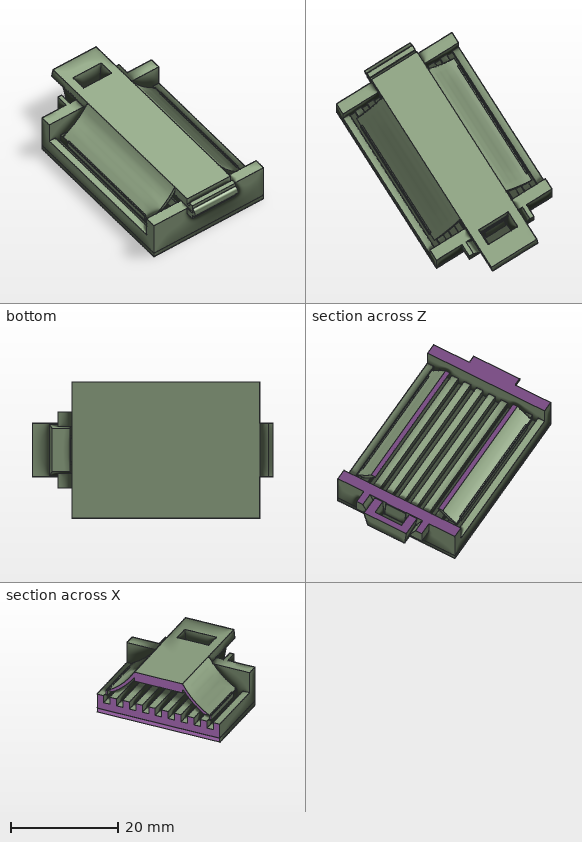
import cadquery as cq
import math


tray_length = 35.0
tray_width = 25.4
pad_height = 0.95
floor_top = 3.95
wall_top = 8.25
wall_thickness = 2.3
groove_count = 9
groove_pitch = 2.67
groove_width = 1.24
groove_depth = 1.5

lid_top = 10.7
lid_thickness = 2.05
lid_width = 10.0
lid_overhang = 7.35
lid_end_slant = 0.4

hinge_gap_reach = 1.6
hinge_strip_thickness = 0.7
hinge_rib_width = 1.0
hinge_rib_height = 0.8
hinge_stub_height = 1.45
hinge_end = 2.45

wing_length = 27.25
wing_thickness = 0.7
wing_radius = 15.0
wing_tip_y = 10.73
wing_tip_drop = 5.5
foot_length = 24.1
foot_bottom = 4.2
foot_outer_y = 10.87
foot_thickness = 0.4

block_bottom = 3.25
block_top_left = -21.7
block_bottom_left = -21.2
block_bottom_right = -17.9
block_top_right = -17.4
block_top_half_width = 4.8
block_bottom_half_width = 4.0
pocket_bottom = 4.2
pocket_top_left = -20.5
pocket_top_right = -17.2
pocket_bottom_left = -20.15
pocket_bottom_right = -17.97
pocket_top_half_width = 3.25
pocket_bottom_half_width = 2.43

barb_reach = 0.7
barb_width = 4.3
barb_bottom = 4.5
barb_top = 7.6
latch_clearance = 0.05
guide_length = 2.6
guide_bottom = 4.87
guide_outer_y = 7.1
guide_top_inner_y = 6.2
guide_bottom_inner_y = 4.35

tray_end = tray_length / 2
lid_bottom = lid_top - lid_thickness
lid_half_width = lid_width / 2


def block(x_min, x_max, y_min, y_max, z_min, z_max):
    """Rectangular block between the given limits."""
    size = (x_max - x_min, y_max - y_min, z_max - z_min)
    return cq.Workplane("XY").box(*size, centered=False).translate((x_min, y_min, z_min))


def tapered_block(lower, upper, z_lower, z_upper):
    """Loft between two rectangles, each given as (x_min, x_max, half_width)."""
    lower_min, lower_max, lower_half = lower
    upper_min, upper_max, upper_half = upper
    return (
        cq.Workplane("XY", origin=((lower_min + lower_max) / 2, 0, z_lower))
        .rect(lower_max - lower_min, 2 * lower_half)
        .workplane(offset=z_upper - z_lower)
        .center((upper_min + upper_max - lower_min - lower_max) / 2, 0)
        .rect(upper_max - upper_min, 2 * upper_half)
        .loft()
    )


def make_pad():
    return block(-tray_end, tray_end, -tray_width / 2, tray_width / 2, 0, pad_height)


def make_tray():
    """Floor with lengthwise grooves between two end walls."""
    half_width = tray_width / 2
    inner_end = tray_end - wall_thickness
    tray = block(-tray_end, tray_end, -half_width, half_width, pad_height, wall_top)
    tray = tray.cut(block(-inner_end, inner_end, -half_width, half_width, floor_top, wall_top))
    for index in range(groove_count):
        y = (index - (groove_count - 1) / 2) * groove_pitch
        tray = tray.cut(
            block(
                -inner_end, inner_end,
                y - groove_width / 2, y + groove_width / 2,
                floor_top - groove_depth, floor_top,
            )
        )
    return tray


def make_guide(side):
    """Guide with a sloping inner face that centres the latch block; side is -1 or 1."""
    points = [
        (side * guide_outer_y, guide_bottom),
        (side * guide_outer_y, wall_top),
        (side * guide_top_inner_y, wall_top),
        (side * guide_bottom_inner_y, guide_bottom),
    ]
    return cq.Workplane("YZ", origin=(-tray_end, 0, 0)).polyline(points).close().extrude(-guide_length)


def make_barb(clearance=0.0):
    """Wedge on the tray end that catches the latch block."""
    tip = -tray_end - barb_reach - clearance
    points = [
        (-tray_end, barb_bottom - clearance),
        (tip, barb_bottom - clearance),
        (-tray_end, barb_top + clearance),
    ]
    return cq.Workplane("XZ").polyline(points).close().extrude(barb_width / 2 + clearance, both=True)


def make_lid():
    """Flat lid with a slanted free end."""
    points = [
        (-tray_end - lid_overhang, lid_bottom),
        (-tray_end - lid_overhang + lid_end_slant, lid_top),
        (tray_end, lid_top),
        (tray_end, lid_bottom),
    ]
    return cq.Workplane("XZ").polyline(points).close().extrude(lid_half_width, both=True)


def make_latch():
    """Tapered block hanging from the lid, trimmed to clear the end of the tray."""
    latch = tapered_block(
        (block_bottom_left, block_bottom_right, block_bottom_half_width),
        (block_top_left, block_top_right, block_top_half_width),
        block_bottom,
        lid_bottom,
    )
    return latch.cut(
        block(
            -tray_end - latch_clearance, tray_end,
            -block_top_half_width, block_top_half_width,
            pad_height, wall_top + latch_clearance,
        )
    )


def make_latch_pocket():
    return tapered_block(
        (pocket_bottom_left, pocket_bottom_right, pocket_bottom_half_width),
        (pocket_top_left, pocket_top_right, pocket_top_half_width),
        pocket_bottom,
        lid_top,
    )


def make_wing(side):
    """Concave wing from the lid edge down towards the tray floor; side is -1 or 1."""
    tip_z = lid_top - wing_tip_drop
    chord_y = wing_tip_y - lid_half_width
    chord = math.hypot(chord_y, wing_tip_drop)
    centre_distance = math.sqrt(wing_radius**2 - (chord / 2) ** 2)
    normal_y = wing_tip_drop / chord
    normal_z = chord_y / chord
    centre_y = (lid_half_width + wing_tip_y) / 2 + centre_distance * normal_y
    centre_z = (lid_top + tip_z) / 2 + centre_distance * normal_z
    outer_middle = (side * (centre_y - wing_radius * normal_y), centre_z - wing_radius * normal_z)

    inner_radius = wing_radius + wing_thickness
    inner_root_y = lid_half_width - wing_thickness
    inner_root_z = centre_z - math.sqrt(inner_radius**2 - (centre_y - inner_root_y) ** 2)
    inner_tip_y = centre_y - math.sqrt(inner_radius**2 - (centre_z - tip_z) ** 2)
    inner_middle = (side * (centre_y - inner_radius * normal_y), centre_z - inner_radius * normal_z)

    profile = (
        cq.Workplane("YZ")
        .moveTo(side * lid_half_width, lid_top)
        .threePointArc(outer_middle, (side * wing_tip_y, tip_z))
        .lineTo(side * inner_tip_y, tip_z)
        .threePointArc(inner_middle, (side * inner_root_y, inner_root_z))
        .lineTo(side * inner_root_y, lid_top)
        .close()
    )
    foot_y = sorted([side * foot_outer_y, side * (foot_outer_y - foot_thickness)])
    foot = block(-foot_length / 2, foot_length / 2, *foot_y, foot_bottom, tip_z)
    return profile.extrude(wing_length / 2, both=True).union(foot)


def make_hinge():
    """Folded strip that joins the lid to the tray, with a rib on top."""
    gap_end = tray_end + hinge_gap_reach
    strip_top = lid_bottom + hinge_strip_thickness
    rib_top = strip_top + hinge_rib_height
    fold_bottom = wall_top - hinge_strip_thickness
    profile = (
        cq.Workplane("XZ")
        .moveTo(tray_end, strip_top)
        .lineTo(gap_end - hinge_rib_width, strip_top)
        .lineTo(gap_end - hinge_rib_width, rib_top)
        .lineTo(gap_end, rib_top)
        .lineTo(gap_end, strip_top)
        .threePointArc((tray_end + hinge_end, (strip_top + fold_bottom) / 2), (gap_end, fold_bottom))
        .lineTo(gap_end, wall_top - hinge_stub_height)
        .lineTo(tray_end, wall_top - hinge_stub_height)
        .lineTo(tray_end, wall_top)
        .lineTo(gap_end, wall_top)
        .lineTo(gap_end, lid_bottom)
        .lineTo(tray_end, lid_bottom)
        .close()
    )
    return profile.extrude(lid_half_width, both=True)


def make_clamp():
    latch_lid = make_lid().union(make_latch())
    for side in (-1, 1):
        latch_lid = latch_lid.union(make_wing(side))
    latch_lid = latch_lid.cut(make_latch_pocket()).cut(make_barb(latch_clearance))
    tray = make_tray().union(make_barb())
    for side in (-1, 1):
        tray = tray.union(make_guide(side))
    return tray.union(make_hinge()).union(latch_lid)


pad = make_pad()
clamp = make_clamp()

result = cq.Compound.makeCompound([pad.val(), *clamp.vals()])